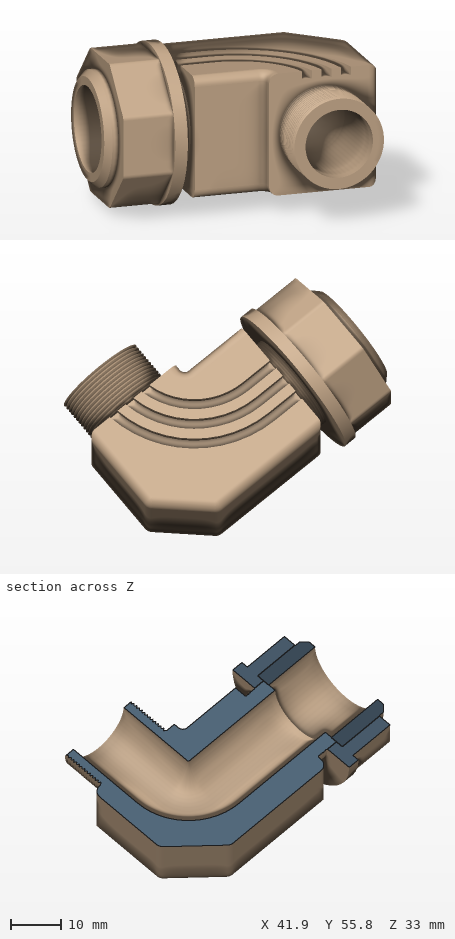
import cadquery as cq


BODY_HALF_HEIGHT = 12.7
INLET_HALF_WIDTH = 13.1
OUTLET_HALF_WIDTH = 11.45
INLET_FACE = -26.25
OUTLET_FACE = 15.5
OUTER_CORNER_X = -3.35
OUTER_CORNER_Y = 1.05
EDGE_RADIUS = 1.95
INNER_CORNER_RADIUS = 1.25

GROOVE_COUNT = 3
GROOVE_WIDTH = 2.0
GROOVE_DEPTH = 1.75
GROOVE_PITCH = 2 * GROOVE_WIDTH
GROOVE_CENTER_X = 19.35
GROOVE_CENTER_Y = -19.35
GROOVE_INNER_RADIUS = 15.25

PASSAGE_RADIUS = 14.15 / 2
BEND_RADIUS = 7.25

OUTLET_THREAD_RADIUS = 9.4
OUTLET_THREAD_DEPTH = 0.55
OUTLET_THREAD_LENGTH = 9.9
OUTLET_THREAD_TURNS = 13

SPIGOT_RADIUS = 10.4
SPIGOT_THREAD_DEPTH = 0.2
SPIGOT_THREAD_LENGTH = 2.55
SPIGOT_THREAD_TURNS = 5

NUT_BACK = INLET_FACE - SPIGOT_THREAD_LENGTH
FLANGE_RADIUS = 33.0 / 2
FLANGE_THICKNESS = 2.6
NUT_SIDES = 8
NUT_ACROSS_FLATS = 29.95
NUT_EDGE_RADIUS = 1.25
OCTAGON_LENGTH = 10.4
SEAT = NUT_BACK - FLANGE_THICKNESS

SLEEVE_RADIUS = 11.9
SLEEVE_BORE_RADIUS = 8.85
SLEEVE_PROTRUSION = 2.55
SLEEVE_CHAMFER = 1.3
SLEEVE_LENGTH = OCTAGON_LENGTH + SLEEVE_PROTRUSION


def rod_along_minus_y(radius, start, length):
    """Cylinder on the inlet axis that runs from Y = start towards -Y."""
    return cq.Workplane("XZ", origin=(0, start, 0)).circle(radius).extrude(length)


def ringed_rod(crest_radius, depth, length, turns):
    """Rod along +Y from the origin with sharp thread-like rings, a crest at both ends."""
    pitch = length / turns
    outline = cq.Workplane("XY").moveTo(0, 0).lineTo(crest_radius, 0)
    for turn in range(turns):
        outline = outline.lineTo(crest_radius - depth, (turn + 0.5) * pitch)
        outline = outline.lineTo(crest_radius, (turn + 1) * pitch)
    outline = outline.lineTo(0, length).close()
    return outline.revolve(360, (0, 0, 0), (0, 1, 0))


def make_body_block():
    """L-shaped block with a cut-off outer corner and rounded edges."""
    block = (
        cq.Workplane("XY")
        .workplane(offset=-BODY_HALF_HEIGHT)
        .moveTo(-INLET_HALF_WIDTH, INLET_FACE)
        .lineTo(INLET_HALF_WIDTH, INLET_FACE)
        .lineTo(INLET_HALF_WIDTH, -OUTLET_HALF_WIDTH)
        .lineTo(OUTLET_FACE, -OUTLET_HALF_WIDTH)
        .lineTo(OUTLET_FACE, OUTLET_HALF_WIDTH)
        .lineTo(OUTER_CORNER_X, OUTLET_HALF_WIDTH)
        .lineTo(-INLET_HALF_WIDTH, OUTER_CORNER_Y)
        .close()
        .extrude(2 * BODY_HALF_HEIGHT)
    )
    inner_corner = cq.selectors.NearestToPointSelector((INLET_HALF_WIDTH, -OUTLET_HALF_WIDTH, 0))
    block = block.edges(inner_corner).fillet(INNER_CORNER_RADIUS)

    end_faces = block.faces("<Y or >X").edges()
    rims = block.faces("|Z").edges().filter(
        lambda edge: not any(edge.isSame(other) for other in end_faces.vals())
    )
    outer_uprights = block.edges("|Z").edges("<X or >Y")
    return block.newObject(rims.vals() + outer_uprights.vals()).fillet(EDGE_RADIUS)


def groove_side_block(radius):
    """Shallow block bounded by a line from the inlet face and a quarter arc of the given radius."""
    return (
        cq.Workplane("XY")
        .workplane(offset=BODY_HALF_HEIGHT - GROOVE_DEPTH)
        .moveTo(GROOVE_CENTER_X, INLET_FACE)
        .lineTo(GROOVE_CENTER_X - radius, INLET_FACE)
        .lineTo(GROOVE_CENTER_X - radius, GROOVE_CENTER_Y)
        .radiusArc((GROOVE_CENTER_X, GROOVE_CENTER_Y + radius), radius)
        .close()
        .extrude(GROOVE_DEPTH)
    )


def make_groove(inner_radius):
    """Cutter for one groove: straight from the inlet face, then an arc that leaves at the outlet face."""
    return groove_side_block(inner_radius + GROOVE_WIDTH).cut(groove_side_block(inner_radius))


def make_passage():
    """Straight bore from the spigot end, a quarter bend, and a straight bore to the outlet end."""
    outlet_end = OUTLET_FACE + OUTLET_THREAD_LENGTH
    path = (
        cq.Workplane("XY")
        .moveTo(0, SEAT)
        .lineTo(0, -BEND_RADIUS)
        .radiusArc((BEND_RADIUS, 0), BEND_RADIUS)
        .lineTo(outlet_end, 0)
    )
    return cq.Workplane("XZ", origin=(0, SEAT, 0)).circle(PASSAGE_RADIUS).sweep(path)


def make_elbow():
    body = make_body_block()
    for index in range(GROOVE_COUNT):
        body = body.cut(make_groove(GROOVE_INNER_RADIUS + index * GROOVE_PITCH))
    outlet_thread = (
        ringed_rod(OUTLET_THREAD_RADIUS, OUTLET_THREAD_DEPTH, OUTLET_THREAD_LENGTH, OUTLET_THREAD_TURNS)
        .rotate((0, 0, 0), (0, 0, 1), -90)
        .translate((OUTLET_FACE, 0, 0))
    )
    inlet_thread = (
        ringed_rod(SPIGOT_RADIUS, SPIGOT_THREAD_DEPTH, SPIGOT_THREAD_LENGTH, SPIGOT_THREAD_TURNS)
        .translate((0, NUT_BACK, 0))
    )
    spigot_end = rod_along_minus_y(SPIGOT_RADIUS, NUT_BACK, FLANGE_THICKNESS)
    body = body.union(outlet_thread).union(inlet_thread).union(spigot_end)
    return body.cut(make_passage())


def make_nut():
    """Octagonal nut with a round flange, a hole for the spigot and a wider one for the sleeve."""
    octagon = (
        cq.Workplane("XZ", origin=(0, SEAT, 0))
        .polygon(NUT_SIDES, NUT_ACROSS_FLATS, circumscribed=True)
        .extrude(OCTAGON_LENGTH)
        .edges("|Y")
        .fillet(NUT_EDGE_RADIUS)
    )
    flange = rod_along_minus_y(FLANGE_RADIUS, NUT_BACK, FLANGE_THICKNESS)
    spigot_hole = rod_along_minus_y(SPIGOT_RADIUS, NUT_BACK, FLANGE_THICKNESS)
    sleeve_hole = rod_along_minus_y(SLEEVE_RADIUS, SEAT, OCTAGON_LENGTH)
    return flange.union(octagon).cut(spigot_hole).cut(sleeve_hole)


def make_sleeve():
    """Tube held in the nut against the spigot end, with a chamfered outer tip."""
    plug = rod_along_minus_y(SLEEVE_RADIUS, SEAT, SLEEVE_LENGTH)
    plug = plug.faces("<Y").edges().chamfer(SLEEVE_CHAMFER)
    return plug.cut(rod_along_minus_y(SLEEVE_BORE_RADIUS, SEAT, SLEEVE_LENGTH))


elbow = make_elbow()
nut = make_nut()
sleeve = make_sleeve()

result = cq.Compound.makeCompound([elbow.solids().val(), nut.solids().val(), sleeve.solids().val()])